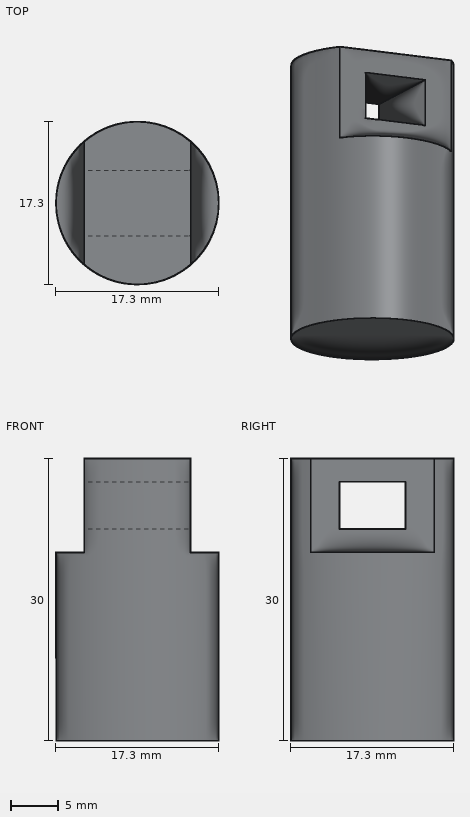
import cadquery as cq

height = 30.0
diameter = 17.3
tang_height = height / 3
tang_thickness = 11.3
window_width = 7.0
window_height = tang_height / 2

shoulder_z = height - tang_height
window_center_z = height - tang_height / 2


def make_flat_cutter(side):
    """Block outside one flat of the tang; side is -1 or +1 along X."""
    cutter_width = diameter / 2
    center_x = side * (tang_thickness + cutter_width) / 2
    return (
        cq.Workplane("XY", origin=(center_x, 0, shoulder_z))
        .rect(cutter_width, diameter)
        .extrude(tang_height)
    )


body = cq.Workplane("XY").circle(diameter / 2).extrude(height)

for side in (-1, 1):
    body = body.cut(make_flat_cutter(side))

window = cq.Workplane("XY", origin=(0, 0, window_center_z)).box(
    tang_thickness, window_width, window_height
)

result = body.cut(window)